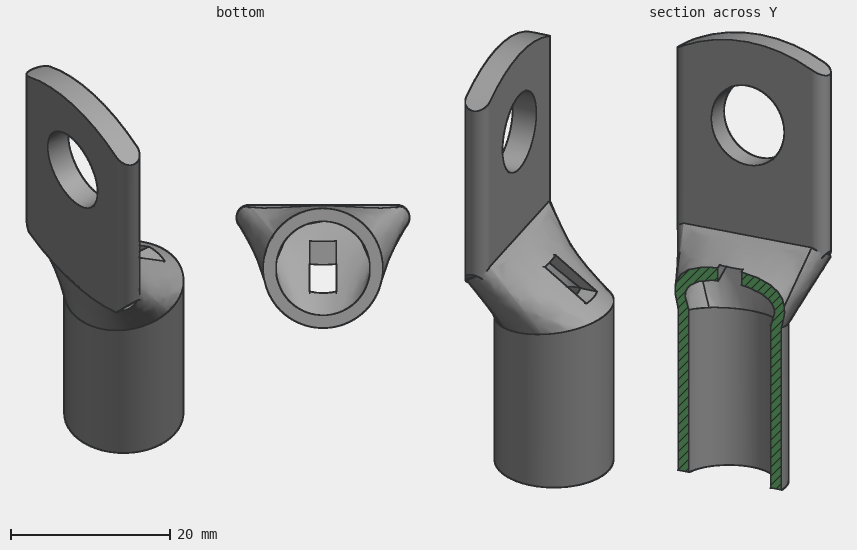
import cadquery as cq
import math

total_height = 57.0
palm_width = 21.8
overall_depth = 15.5
palm_thickness = 3.25

barrel_diameter = 15.05
wall = palm_thickness / 2
barrel_radius = barrel_diameter / 2
bore_radius = barrel_radius - wall
barrel_front_height = 20.6
barrel_back_height = 22.8

palm_front_y = barrel_radius - overall_depth
palm_mid_y = palm_front_y + palm_thickness / 2
palm_back_y = palm_front_y + palm_thickness
palm_shoulder_height = 54.05
palm_side_bottom = 30.5
palm_corner_bottom = 28.35
palm_centre_bottom = 26.6
flat_half_width = (palm_width - palm_thickness) / 2
stud_hole_diameter = 10.55
stud_hole_height = 45.9

neck_back_height = 31.25
neck_front_height = 28.9
seam_gap = 0.05

edge_front_angle = 35
edge_back_angle = 12

window_width = 3.35
window_bottom = 24.3
window_top = 28.3


def tilted_plane(mid_y, depth, front_height, back_height):
    """Plane facing up that rises from front_height to back_height over depth."""
    rise = back_height - front_height
    return cq.Plane(
        origin=(0, mid_y, (front_height + back_height) / 2),
        xDir=(1, 0, 0),
        normal=(0, -rise, depth),
    )


barrel_end = tilted_plane(0, barrel_diameter, barrel_front_height, barrel_back_height)
palm_end = tilted_plane(palm_mid_y, palm_thickness, neck_front_height, neck_back_height)
barrel_stretch = math.hypot(barrel_diameter, barrel_back_height - barrel_front_height) / barrel_diameter
palm_stretch = math.hypot(palm_thickness, neck_back_height - neck_front_height) / palm_thickness


def barrel_solid(radius):
    """Round bar from Z = 0 up to the tilted end of the barrel."""
    bar = cq.Workplane("XY").circle(radius).extrude(neck_back_height)
    above = cq.Workplane(barrel_end).rect(4 * radius, 4 * radius).extrude(neck_back_height)
    return bar.cut(above)


def flattened_wire(thickness):
    """Flat section with arc ends, lying in the tilted end of the palm."""
    half = thickness / 2 * palm_stretch
    tip = flat_half_width + thickness / 2
    return (
        cq.Workplane(palm_end)
        .moveTo(-flat_half_width, -half)
        .lineTo(flat_half_width, -half)
        .threePointArc((tip, 0), (flat_half_width, half))
        .lineTo(-flat_half_width, half)
        .threePointArc((-tip, 0), (-flat_half_width, -half))
        .close()
        .val()
    )


def ellipse_wire(radius):
    """Tilted barrel section, split into front, right, back and left arcs to pair with the flat section."""
    corners = [180 + edge_front_angle, 360 - edge_front_angle, 360 + edge_back_angle, 540 - edge_back_angle]
    corners.append(corners[0] + 360)
    points = []
    for start, end in zip(corners, corners[1:]):
        points += [start, (start + end) / 2]
    points.append(corners[-1])
    positions = [
        (radius * math.cos(math.radians(angle)), radius * barrel_stretch * math.sin(math.radians(angle)))
        for angle in points
    ]
    ellipse = cq.Workplane(barrel_end).moveTo(*positions[0])
    for middle, end in zip(positions[1::2], positions[2::2]):
        ellipse = ellipse.threePointArc(middle, end)
    return ellipse.close().val()


def transition(radius, thickness):
    """Straight-ruled blend from the round barrel to the flat palm."""
    return cq.Workplane(cq.Solid.makeLoft([ellipse_wire(radius), flattened_wire(thickness)], True))


def palm():
    """Round-edged plate with arched top and bottom and a stud hole."""
    side = palm_width / 2
    plate = (
        cq.Workplane("XY")
        .center(0, palm_mid_y)
        .slot2D(palm_width, palm_thickness)
        .extrude(total_height)
    )
    outline = (
        cq.Workplane("XZ", origin=(0, palm_back_y, 0))
        .moveTo(-side, palm_side_bottom)
        .lineTo(-flat_half_width, palm_corner_bottom)
        .threePointArc((0, palm_centre_bottom), (flat_half_width, palm_corner_bottom))
        .lineTo(side, palm_side_bottom)
        .lineTo(side, palm_shoulder_height)
        .threePointArc((0, total_height), (-side, palm_shoulder_height))
        .close()
        .extrude(palm_thickness)
    )
    stud_hole = (
        cq.Workplane("XZ", origin=(0, palm_back_y, 0))
        .center(0, stud_hole_height)
        .circle(stud_hole_diameter / 2)
        .extrude(palm_thickness)
    )
    return plate.intersect(outline).cut(stud_hole)


def inspection_window():
    """Rectangular opening running along Y from the back into the cavity."""
    depth = barrel_radius - palm_back_y
    return cq.Workplane("XY").box(
        window_width, depth, window_top - window_bottom, centered=(True, False, False)
    ).translate((0, palm_back_y, window_bottom))


outside = barrel_solid(barrel_radius).union(transition(barrel_radius, palm_thickness)).union(palm())
cavity = barrel_solid(bore_radius).union(transition(bore_radius, seam_gap))
result = outside.cut(cavity).cut(inspection_window())